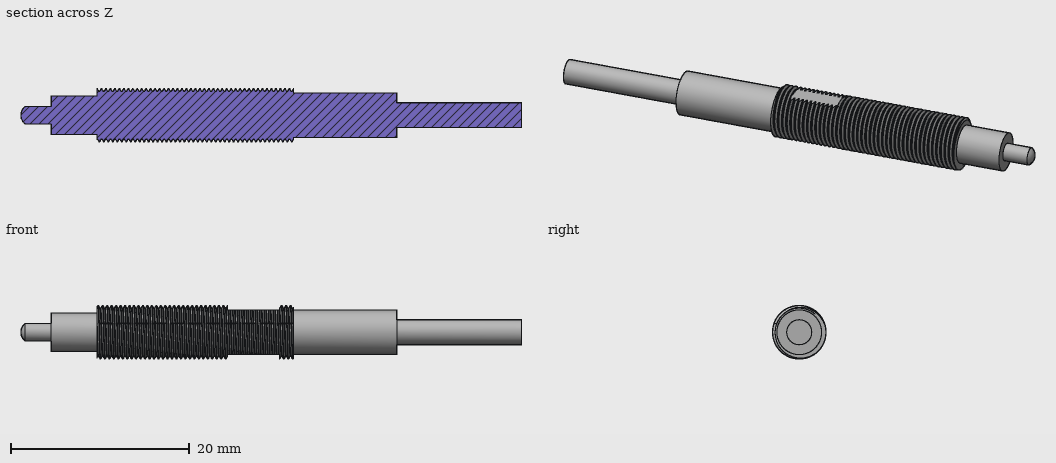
import cadquery as cq
import math

TOTAL_LENGTH = 56.0
TIP_X = -TOTAL_LENGTH / 2
NOSE_X = TIP_X + 3.4
THREAD_START_X = NOSE_X + 5.1
THREAD_LENGTH = 22.0
THREAD_END_X = THREAD_START_X + THREAD_LENGTH
SLEEVE_END_X = TIP_X + 42.05
CABLE_END_X = TIP_X + TOTAL_LENGTH

PLUNGER_DIAMETER = 2.0
NOSE_DIAMETER = 4.35
SLEEVE_DIAMETER = 5.0
CABLE_DIAMETER = 2.8
DOME_HEIGHT = 0.5

THREAD_DIAMETER = 6.0
PITCH = 0.5
FLANK_ANGLE = math.radians(30)
CREST_FLAT = PITCH / 8
ROOT_FLAT = PITCH / 6
THREAD_DEPTH = (PITCH - CREST_FLAT - ROOT_FLAT) / 2 / math.tan(FLANK_ANGLE)
ROOT_RADIUS = THREAD_DIAMETER / 2 - THREAD_DEPTH
GROOVE_OVERCUT = 0.03
GROOVE_START_ANGLE = 70.0
TURNS_PER_MODULE = 4

FLATS_ACROSS = 5.0
FLATS_LENGTH = 5.8
FLATS_START_X = THREAD_START_X + 14.6
FLATS_OVERCUT = 1.0


def rod(start_x, end_x, diameter):
    """Cylinder along X between two stations."""
    return cq.Workplane("YZ", origin=(start_x, 0, 0)).circle(diameter / 2).extrude(end_x - start_x)


def domed_plunger():
    """Thin plunger whose free end is a shallow spherical dome."""
    radius = PLUNGER_DIAMETER / 2
    dome_radius = (radius**2 + DOME_HEIGHT**2) / (2 * DOME_HEIGHT)
    half_angle = math.asin(radius / dome_radius) / 2
    dome_mid = (TIP_X + dome_radius * (1 - math.cos(half_angle)), dome_radius * math.sin(half_angle))
    return (
        cq.Workplane("XY")
        .moveTo(TIP_X, 0)
        .threePointArc(dome_mid, (TIP_X + DOME_HEIGHT, radius))
        .lineTo(NOSE_X, radius)
        .lineTo(NOSE_X, 0)
        .close()
        .revolve(360, (0, 0, 0), (1, 0, 0))
    )


def groove_turn(start_x):
    """One turn of the right-hand helical V groove that separates the thread crests."""
    axis = cq.Vector(1, 0, 0)
    helix = cq.Wire.makeHelix(PITCH, PITCH, ROOT_RADIUS, cq.Vector(start_x, 0, 0), axis)
    start = helix.startPoint()
    outward = cq.Vector(0, start.y, start.z)
    section = cq.Plane(origin=start.toTuple(), xDir=axis.toTuple(), normal=axis.cross(outward).toTuple())
    height = THREAD_DEPTH + GROOVE_OVERCUT
    half_root = ROOT_FLAT / 2
    half_mouth = half_root + height * math.tan(FLANK_ANGLE)
    turn = (
        cq.Workplane(section)
        .moveTo(-half_root, 0)
        .lineTo(half_root, 0)
        .lineTo(half_mouth, height)
        .lineTo(-half_mouth, height)
        .close()
        .sweep(cq.Workplane(helix), isFrenet=True)
    )
    return turn.rotate((0, 0, 0), (1, 0, 0), GROOVE_START_ANGLE).val()


def threaded_rod():
    """Thread made of identical short lengths, each a whole number of turns, joined end to end."""
    module_length = TURNS_PER_MODULE * PITCH
    module_count = round(THREAD_LENGTH / module_length)
    blank = rod(THREAD_START_X, THREAD_START_X + module_length, THREAD_DIAMETER).val()
    grooves = [groove_turn(THREAD_START_X + turn * PITCH) for turn in range(-1, TURNS_PER_MODULE + 1)]
    module = blank.cut(*grooves)
    modules = [module.translate(cq.Vector(index * module_length, 0, 0)) for index in range(module_count)]
    return cq.Workplane(modules[0].fuse(*modules[1:]))


def cut_wrench_flats(body):
    """Cut two opposite flats, square to Z, across the thread."""
    cut_height = (THREAD_DIAMETER - FLATS_ACROSS) / 2 + FLATS_OVERCUT
    center_x = FLATS_START_X + FLATS_LENGTH / 2
    for side in (1, -1):
        center_z = side * (FLATS_ACROSS + cut_height) / 2
        center = (center_x, 0, center_z)
        slab = cq.Workplane("XY", origin=center).box(FLATS_LENGTH, THREAD_DIAMETER, cut_height)
        body = body.cut(slab, clean=False)
    return body


nose = rod(NOSE_X, THREAD_START_X, NOSE_DIAMETER)
sleeve = rod(THREAD_END_X, SLEEVE_END_X, SLEEVE_DIAMETER)
cable = rod(SLEEVE_END_X, CABLE_END_X, CABLE_DIAMETER)

result = cut_wrench_flats(threaded_rod())
for step in (domed_plunger(), nose, sleeve, cable):
    result = result.union(step)